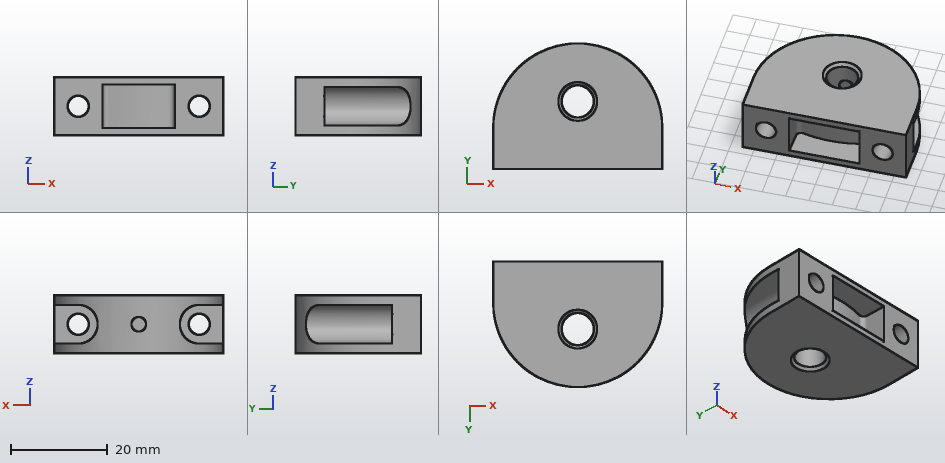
import cadquery as cq
import math

WIDTH = 35.0
HEIGHT = 12.0
BACK_RADIUS = WIDTH / 2
LENGTH = 26.0
STRAIGHT_LENGTH = LENGTH - BACK_RADIUS

BORE_DIAMETER = 6.6
BORE_Y = 14.0
BORE_CHAMFER = 0.7

BOLT_X = 12.5
BOLT_DIAMETER = 4.3
HEAD_DIAMETER = 8.0
HEAD_SEAT_Y = 6.0

POCKET_WIDTH = 15.0
POCKET_HEIGHT = 9.0
POCKET_SIDE_TAPER = 0.2
POCKET_BULGE_Y = 5.0
POCKET_BULGE_RADIUS = 25.0
POCKET_FILLET = 1.0

PIN_DIAMETER = 3.0
PIN_INNER_Y = BORE_Y + BORE_DIAMETER / 2
PIN_LENGTH = LENGTH - PIN_INNER_Y


def cylinder_along_y(diameter, x, start_y, length):
    """Solid cylinder on mid height, running toward +Y from start_y."""
    plane = cq.Plane(origin=(x, start_y, 0), xDir=(1, 0, 0), normal=(0, 1, 0))
    return cq.Workplane(plane).circle(diameter / 2).extrude(length)


def make_blank():
    half_width = WIDTH / 2
    return (
        cq.Workplane("XY", origin=(0, 0, -HEIGHT / 2))
        .moveTo(-half_width, 0)
        .lineTo(half_width, 0)
        .lineTo(half_width, STRAIGHT_LENGTH)
        .threePointArc((0, LENGTH), (-half_width, STRAIGHT_LENGTH))
        .close()
        .extrude(HEIGHT)
    )


def make_bore_cutter():
    bore_radius = BORE_DIAMETER / 2
    mouth_radius = bore_radius + BORE_CHAMFER
    half_height = HEIGHT / 2
    chamfer_z = half_height - BORE_CHAMFER
    profile = [
        (0, -half_height),
        (mouth_radius, -half_height),
        (bore_radius, -chamfer_z),
        (bore_radius, chamfer_z),
        (mouth_radius, half_height),
        (0, half_height),
    ]
    return (
        cq.Workplane("XZ")
        .polyline(profile)
        .close()
        .revolve(360, (0, 0, 0), (0, 1, 0))
        .translate((0, BORE_Y, 0))
    )


def make_bolt_cutter(side):
    """Bolt hole and side-opening head slot; side is -1 or 1 along X."""
    x = side * BOLT_X
    slot_length = LENGTH - HEAD_SEAT_Y
    bolt_hole = cylinder_along_y(BOLT_DIAMETER, x, 0, LENGTH)
    head_hole = cylinder_along_y(HEAD_DIAMETER, x, HEAD_SEAT_Y, slot_length)
    side_opening = (
        cq.Workplane("XY")
        .box(WIDTH / 2, slot_length, HEAD_DIAMETER)
        .translate((x + side * WIDTH / 4, HEAD_SEAT_Y + slot_length / 2, 0))
    )
    return bolt_hole.union(head_hole).union(side_opening)


def make_pocket_cutter():
    mouth_x = POCKET_WIDTH / 2
    corner_x = mouth_x - POCKET_SIDE_TAPER
    bulge_sag = POCKET_BULGE_RADIUS - math.sqrt(POCKET_BULGE_RADIUS**2 - corner_x**2)
    corner_y = POCKET_BULGE_Y + bulge_sag
    return (
        cq.Workplane("XY", origin=(0, 0, -POCKET_HEIGHT / 2))
        .moveTo(-mouth_x, 0)
        .lineTo(mouth_x, 0)
        .lineTo(corner_x, corner_y)
        .threePointArc((0, POCKET_BULGE_Y), (-corner_x, corner_y))
        .close()
        .extrude(POCKET_HEIGHT)
        .edges("|Z and >Y")
        .fillet(POCKET_FILLET)
    )


def make_pin():
    return cylinder_along_y(PIN_DIAMETER, 0, PIN_INNER_Y, PIN_LENGTH)


def make_housing():
    housing = make_blank().cut(make_bore_cutter()).cut(make_pocket_cutter())
    for side in (-1, 1):
        housing = housing.cut(make_bolt_cutter(side))
    pin_hole = cylinder_along_y(PIN_DIAMETER, 0, BORE_Y, LENGTH - BORE_Y)
    return housing.cut(pin_hole)


pin = make_pin()
housing = make_housing()

result = cq.Compound.makeCompound([housing.val(), pin.val()])